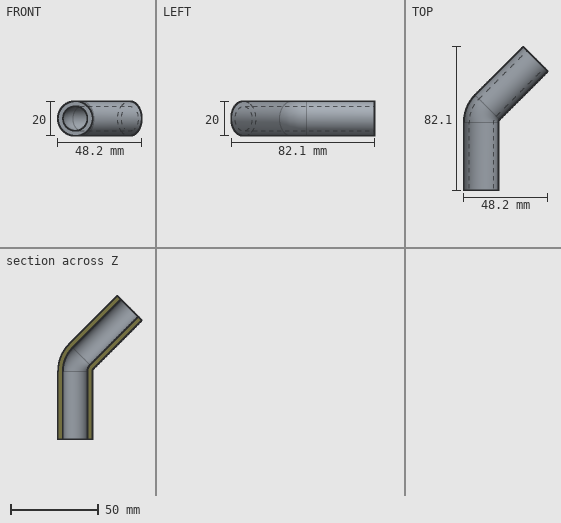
import cadquery as cq
import math

outer_diameter = 20.0
bore_diameter = 14
leg_length = 39.0
bend_radius = 12.0
bend_angle = 45


def bend_point(angle):
    """Point on the centreline arc after turning by the given angle in degrees."""
    turn = math.radians(angle)
    return (
        bend_radius * (1 - math.cos(turn)),
        leg_length + bend_radius * math.sin(turn),
    )


bend_end = bend_point(bend_angle)
far_end = (
    bend_end[0] + leg_length * math.sin(math.radians(bend_angle)),
    bend_end[1] + leg_length * math.cos(math.radians(bend_angle)),
)
centreline = (
    cq.Workplane("XY")
    .lineTo(*bend_point(0))
    .threePointArc(bend_point(bend_angle / 2), bend_end)
    .lineTo(*far_end)
)

result = (
    cq.Workplane("XZ")
    .circle(outer_diameter / 2)
    .circle(bore_diameter / 2)
    .sweep(centreline)
)